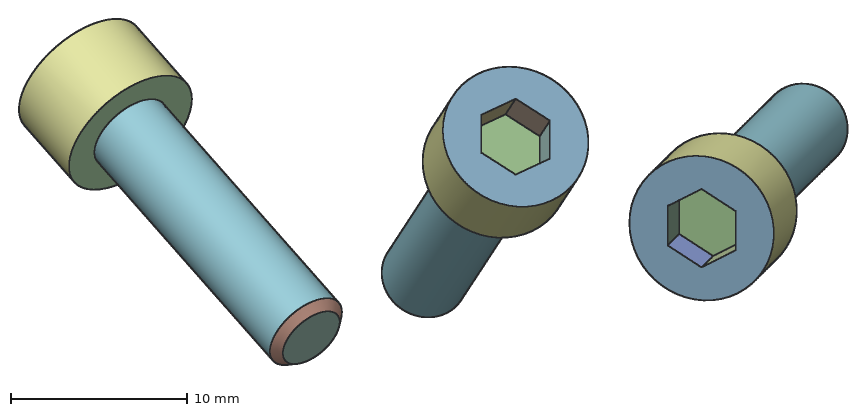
import cadquery as cq
import math

total_length = 23.0
head_diameter = 8.5
head_length = 5.0
shank_diameter = 5.0
tip_chamfer = 0.53
socket_across_flats = 4.0
socket_depth = 2.5


def make_head():
    return cq.Workplane("YZ").circle(head_diameter / 2).extrude(head_length)


def make_shank():
    shank = cq.Workplane("YZ").circle(shank_diameter / 2).extrude(total_length)
    return shank.faces(">X").chamfer(tip_chamfer)


def make_socket():
    hexagon = cq.Sketch().regularPolygon(socket_across_flats / math.sqrt(3), 6)
    return cq.Workplane("YZ").placeSketch(hexagon).extrude(socket_depth)


result = make_head().union(make_shank()).cut(make_socket())